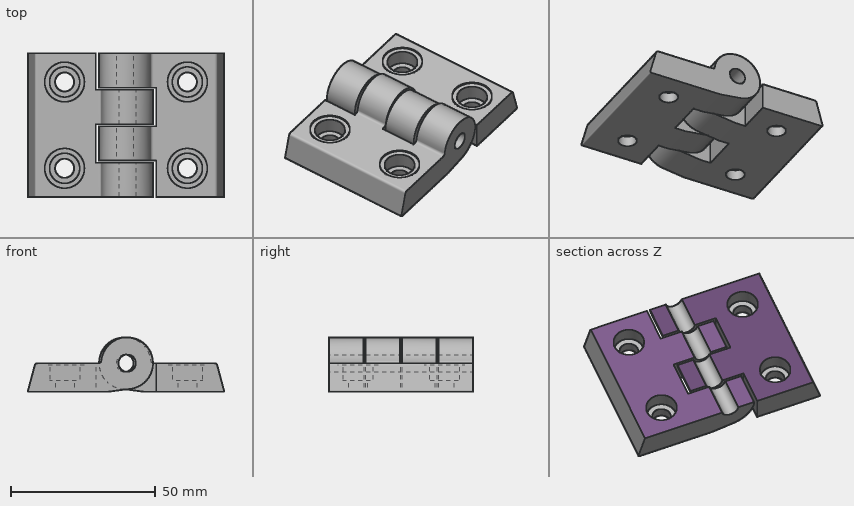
import cadquery as cq
import math

overall_length = 68.0
hinge_width = 50.0
leaf_thickness = 10.0

barrel_radius = 9.0
axis_offset = 0.4
pin_bore_diameter = 6.0
barrel_fillet = 1.0
ramp_start = 6.45
knuckle_count = 4
knuckle_gap = 0.6
knuckle_pitch = (hinge_width + knuckle_gap) / knuckle_count
knuckle_width = knuckle_pitch - knuckle_gap
notch_edge = 10.4

edge_slope = 15.0
top_edge_radius = 1.0
bottom_edge_radius = 0.5

hole_x = 21.3
hole_y = 15.0
screw_diameter = 6.5
head_diameter = 10.5
head_depth = 6.0
rim_diameter = 13.8
rim_depth = 0.5


def leaf_profile():
    """Section of the left leaf with its barrel, in the XZ plane."""
    corner_turn = math.radians((90 + edge_slope) / 2)
    bottom_x = -overall_length / 2 + bottom_edge_radius * (1 - math.tan(corner_turn))
    top_x = bottom_x + leaf_thickness * math.tan(math.radians(edge_slope))

    centre_distance = barrel_radius + barrel_fillet
    fillet_reach = math.sqrt(centre_distance**2 - barrel_fillet**2)
    fillet_x = axis_offset - fillet_reach
    fillet_z = leaf_thickness + barrel_fillet
    touch_ratio = barrel_radius / centre_distance
    barrel_touch = (
        axis_offset - fillet_reach * touch_ratio,
        leaf_thickness + barrel_fillet * touch_ratio,
    )
    half_turn = (math.pi / 2 - math.asin(barrel_fillet / centre_distance)) / 2
    fillet_middle = (
        fillet_x + barrel_fillet * math.sin(half_turn),
        fillet_z - barrel_fillet * math.cos(half_turn),
    )

    run = axis_offset + ramp_start
    axis_distance = math.hypot(run, leaf_thickness)
    ramp_angle = math.atan2(leaf_thickness, run) - math.asin(barrel_radius / axis_distance)
    ramp_touch = (
        axis_offset + barrel_radius * math.sin(ramp_angle),
        leaf_thickness - barrel_radius * math.cos(ramp_angle),
    )

    return (
        cq.Workplane("XZ")
        .moveTo(bottom_x, 0)
        .lineTo(top_x, leaf_thickness)
        .lineTo(fillet_x, leaf_thickness)
        .threePointArc(fillet_middle, barrel_touch)
        .threePointArc((axis_offset + barrel_radius, leaf_thickness), ramp_touch)
        .lineTo(-ramp_start, 0)
        .close()
    )


def round_outer_edges(leaf):
    """Round the long top and bottom edges of the sloping outer side."""
    leaf = leaf.edges("|Y").edges("<X").fillet(bottom_edge_radius)
    top_edge = leaf.faces(cq.selectors.NearestToPointSelector((-hole_x, 0, leaf_thickness)))
    return top_edge.edges("|Y").edges("<X").fillet(top_edge_radius)


def knuckle_notches():
    """Blocks that clear the spaces for the opposite leaf's knuckles."""
    block_length = overall_length / 2
    block_height = 4 * barrel_radius
    notches = cq.Workplane()
    for index in range(1, knuckle_count, 2):
        centre_y = -hinge_width / 2 + knuckle_width / 2 + index * knuckle_pitch
        block = (
            cq.Workplane()
            .box(block_length, knuckle_width + 2 * knuckle_gap, block_height)
            .translate((block_length / 2 - notch_edge, centre_y, leaf_thickness))
        )
        notches = notches.add(block)
    return notches


def screw_holes():
    """Through holes with a head recess and a shallow rim recess."""
    positions = [(-hole_x, -hole_y), (-hole_x, hole_y)]
    top = cq.Workplane().workplane(offset=leaf_thickness).pushPoints(positions)
    through = top.circle(screw_diameter / 2).extrude(-leaf_thickness)
    head = top.circle(head_diameter / 2).extrude(-head_depth)
    rim = top.circle(rim_diameter / 2).extrude(-rim_depth)
    return through.union(head).union(rim)


def hinge_leaf():
    """Left leaf with knuckles in the first and third positions from the -Y end."""
    leaf = leaf_profile().extrude(hinge_width / 2, both=True)
    leaf = round_outer_edges(leaf)
    pin_bore = (
        cq.Workplane("XZ")
        .center(axis_offset, leaf_thickness)
        .circle(pin_bore_diameter / 2)
        .extrude(hinge_width, both=True)
    )
    for notch in knuckle_notches().vals():
        leaf = leaf.cut(cq.Workplane(notch))
    return leaf.cut(pin_bore).cut(screw_holes())


leaves = [hinge_leaf().rotate((0, 0, 0), (0, 0, 1), turn) for turn in (0, 180)]

result = cq.Compound.makeCompound([leaf.val() for leaf in leaves])